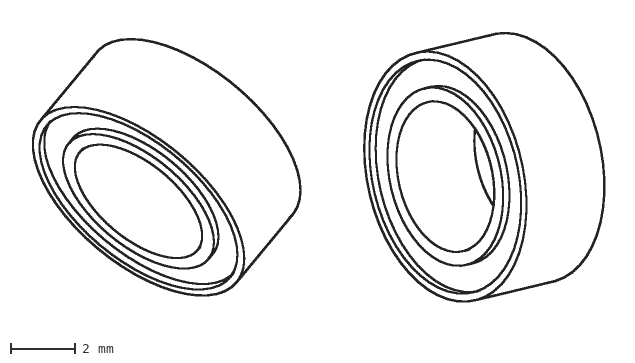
import cadquery as cq

outer_diameter = 7.91
bore_diameter = 4.76
width = 3.15

recess_outer_diameter = 7.395
recess_inner_diameter = 5.64
recess_depth = 0.25


def ring(outer, inner, length, start_y):
    """Ring around the Y axis, extending from start_y toward +Y."""
    plane = cq.Workplane("XZ", origin=(0, start_y, 0))
    return plane.circle(outer / 2).circle(inner / 2).extrude(-length)


front_y = -width / 2
back_y = width / 2

result = ring(outer_diameter, bore_diameter, width, front_y)
for recess_start in (front_y, back_y - recess_depth):
    recess = ring(recess_outer_diameter, recess_inner_diameter, recess_depth, recess_start)
    result = result.cut(recess)